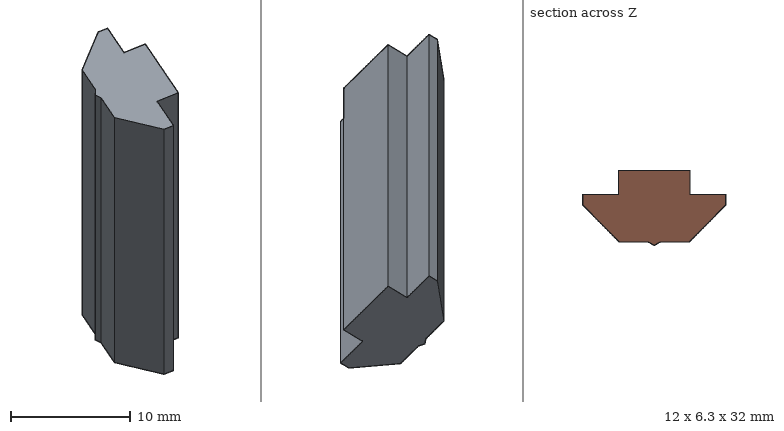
import cadquery as cq

length = 32.0
flange_width = 12.0
neck_width = 6.0
face_width = 5.9
rib_width = 1.02
total_depth = 6.3
neck_depth = 2.0
lip_depth = 0.9
rib_depth = 0.3

back = total_depth / 2
shoulder = back - neck_depth
lip_end = shoulder - lip_depth
rib_tip = -total_depth / 2
face = rib_tip + rib_depth

right_half = [
    (neck_width / 2, back),
    (neck_width / 2, shoulder),
    (flange_width / 2, shoulder),
    (flange_width / 2, lip_end),
    (face_width / 2, face),
    (rib_width / 2, face),
]
left_half = [(-x, y) for x, y in reversed(right_half)]
profile = right_half + [(0, rib_tip)] + left_half

result = cq.Workplane("XY").polyline(profile).close().extrude(length)